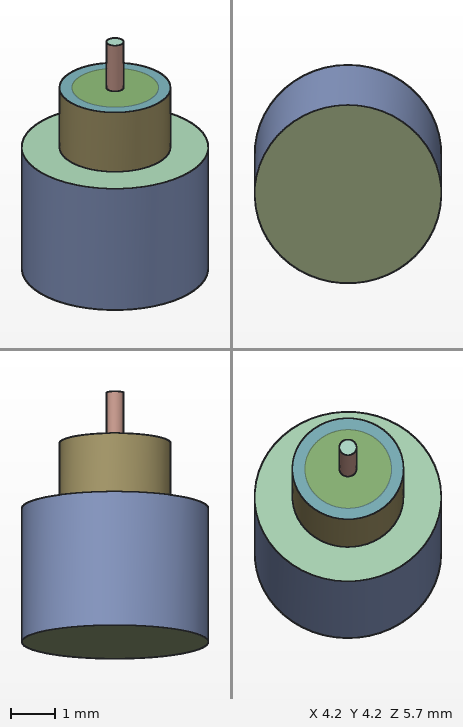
import cadquery as cq

total_height = 5.7
body_diameter = 4.2
body_height = 3.055
collar_diameter = 2.5
collar_height = 1.495
insulator_diameter = 1.95
pin_diameter = 0.39

body_radius = body_diameter / 2
collar_radius = collar_diameter / 2
insulator_radius = insulator_diameter / 2
pin_radius = pin_diameter / 2
collar_top = body_height + collar_height

half_profile = [
    (0, 0),
    (body_radius, 0),
    (body_radius, body_height),
    (collar_radius, body_height),
    (collar_radius, collar_top),
    (insulator_radius, collar_top),
    (pin_radius, collar_top),
    (pin_radius, total_height),
    (0, total_height),
]

result = (
    cq.Workplane("XZ")
    .polyline(half_profile)
    .close()
    .revolve(360, (0, 0), (0, 1), clean=False)
)